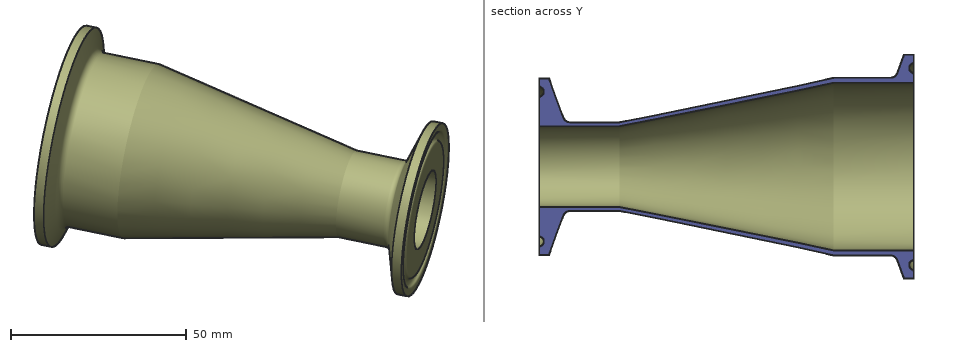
import cadquery as cq
import math

LENGTH = 107.0
TUBE_END = 22.9
RIM_WIDTH = 2.9
BACK_ANGLE = 20.0
NECK_FILLET = 2.0

LARGE_FLANGE_RADIUS = 64.0 / 2
LARGE_TUBE_RADIUS = 50.8 / 2
LARGE_BORE_RADIUS = 47.8 / 2
SMALL_FLANGE_RADIUS = 50.5 / 2
SMALL_TUBE_RADIUS = 25.4 / 2
SMALL_BORE_RADIUS = 23.0 / 2

GROOVE_INSET = 3.9
GROOVE_HALF_WIDTH = 1.3
LIP_WIDTH = 0.6
GROOVE_ANGLE = 70.0


def neck_blend(flange_radius, tube_radius):
    """Start, middle and end of the neck fillet as (distance from face, radius)."""
    slope = math.radians(BACK_ANGLE)
    corner = RIM_WIDTH + (flange_radius - tube_radius) * math.tan(slope)
    tangent_length = NECK_FILLET * math.tan(math.radians(90 - BACK_ANGLE) / 2)
    center_x = corner + tangent_length
    center_r = tube_radius + NECK_FILLET

    def point(angle):
        return (center_x - NECK_FILLET * math.sin(angle), center_r - NECK_FILLET * math.cos(angle))

    sweep = math.radians(90 - BACK_ANGLE)
    return point(sweep), point(sweep / 2), point(0)


def gasket_groove(flange_radius):
    """Ring-shaped cutter with a concave floor and rounded lips, in the face at X = 0."""
    wall = math.radians(GROOVE_ANGLE)
    floor_radius = GROOVE_HALF_WIDTH / math.sin(wall)
    lip_radius = LIP_WIDTH / math.sin(wall)
    depth = (floor_radius + lip_radius) * (1 - math.cos(wall))
    lip_drop = lip_radius * (1 - math.cos(wall))
    half_lip_drop = lip_radius * (1 - math.cos(wall / 2))
    half_lip_offset = GROOVE_HALF_WIDTH + LIP_WIDTH - lip_radius * math.sin(wall / 2)
    half_opening = GROOVE_HALF_WIDTH + LIP_WIDTH
    middle = flange_radius - GROOVE_INSET
    profile = (
        cq.Workplane("XY")
        .moveTo(0, middle - half_opening)
        .threePointArc((half_lip_drop, middle - half_lip_offset), (lip_drop, middle - GROOVE_HALF_WIDTH))
        .threePointArc((depth, middle), (lip_drop, middle + GROOVE_HALF_WIDTH))
        .threePointArc((half_lip_drop, middle + half_lip_offset), (0, middle + half_opening))
        .close()
    )
    return profile.revolve(360, (0, 0, 0), (1, 0, 0))


def from_far_end(points):
    """Measure points from the small end instead of the large end."""
    return [(LENGTH - x, r) for x, r in points]


def reducer_body():
    large_start, large_middle, large_end = neck_blend(LARGE_FLANGE_RADIUS, LARGE_TUBE_RADIUS)
    small_start, small_middle, small_end = from_far_end(
        neck_blend(SMALL_FLANGE_RADIUS, SMALL_TUBE_RADIUS)
    )
    profile = (
        cq.Workplane("XY")
        .moveTo(0, LARGE_BORE_RADIUS)
        .lineTo(0, LARGE_FLANGE_RADIUS)
        .lineTo(RIM_WIDTH, LARGE_FLANGE_RADIUS)
        .lineTo(*large_start)
        .threePointArc(large_middle, large_end)
        .lineTo(TUBE_END, LARGE_TUBE_RADIUS)
        .lineTo(LENGTH - TUBE_END, SMALL_TUBE_RADIUS)
        .lineTo(*small_end)
        .threePointArc(small_middle, small_start)
        .lineTo(LENGTH - RIM_WIDTH, SMALL_FLANGE_RADIUS)
        .lineTo(LENGTH, SMALL_FLANGE_RADIUS)
        .lineTo(LENGTH, SMALL_BORE_RADIUS)
        .lineTo(LENGTH - TUBE_END, SMALL_BORE_RADIUS)
        .lineTo(TUBE_END, LARGE_BORE_RADIUS)
        .close()
    )
    return profile.revolve(360, (0, 0, 0), (1, 0, 0))


large_groove = gasket_groove(LARGE_FLANGE_RADIUS)
small_groove = gasket_groove(SMALL_FLANGE_RADIUS).mirror("YZ").translate((LENGTH, 0, 0))
result = reducer_body().cut(large_groove).cut(small_groove)